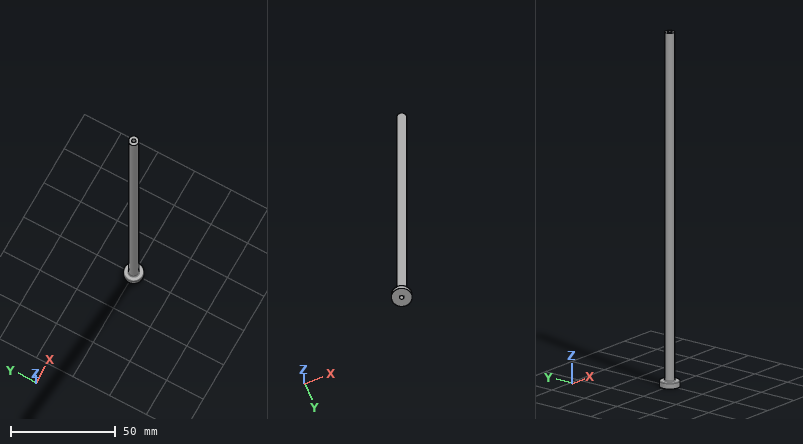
import cadquery as cq

total_length = 178.0
head_diameter = 10.0
head_thickness = 3.0
shaft_diameter = 5.0
bore_diameter = 2.0
root_fillet_radius = 0.3

shaft_length = total_length - head_thickness


def make_head():
    """Flat round flange with its underside at Z = 0."""
    return cq.Workplane("XY").circle(head_diameter / 2).extrude(head_thickness)


def add_shaft(body):
    """Round shaft rising from the head."""
    return body.faces(">Z").workplane().circle(shaft_diameter / 2).extrude(shaft_length)


def round_shaft_root(body):
    """Fillet the inner corner where the shaft meets the top of the head."""
    radius = shaft_diameter / 2
    root_edge = cq.selectors.BoxSelector(
        (-radius, -radius, head_thickness - root_fillet_radius),
        (radius, radius, head_thickness + root_fillet_radius),
    )
    return body.edges("%CIRCLE").edges(root_edge).fillet(root_fillet_radius)


def cut_bore(body):
    """Straight bore through the full length."""
    return body.faces(">Z").workplane().circle(bore_diameter / 2).cutThruAll()


sleeve = round_shaft_root(add_shaft(make_head()))
result = cut_bore(sleeve)